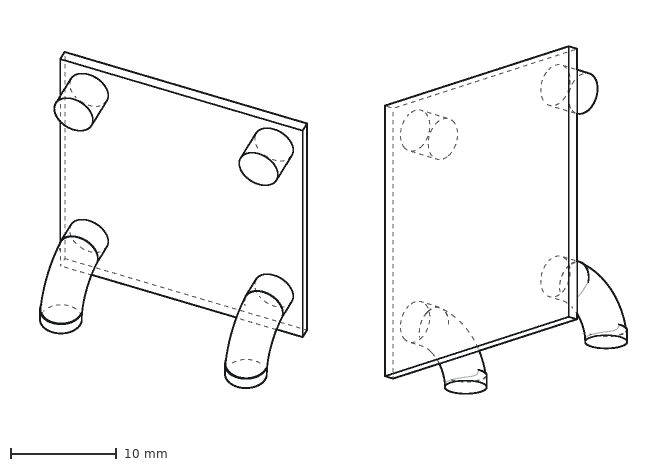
import cadquery as cq

plate_width = 25.0
plate_height = 27.0
plate_thickness = 1.08
plate_front = -plate_thickness
total_depth = 9.8

rod_diameter = 4.0
rod_radius = rod_diameter / 2
side_inset = 2.97
rod_spacing = plate_width - 2 * side_inset
rod_positions = (-rod_spacing / 2, rod_spacing / 2)

peg_length = 3.67
peg_drop = 2.92
peg_height = plate_height - peg_drop

hook_height = 5.0
bend_diameter = 3.97
bend_radius = hook_height
stub_length = 2.48
tip_length = 1.22
tip_y = -total_depth + rod_radius
bend_center_y = tip_y + bend_radius


def make_plate():
    return cq.Workplane("XY").box(
        plate_width, plate_thickness, plate_height, centered=(True, False, False)
    ).translate((0, plate_front, 0))


def make_rod(x, z, length):
    """Straight round rod standing out from the front face of the plate."""
    face = cq.Workplane("XZ", origin=(x, plate_front, z))
    return face.circle(rod_radius).extrude(length)


def make_hook(x):
    """Rod that leaves the plate and turns down to the level of its lower edge."""
    stub = make_rod(x, hook_height, stub_length)
    bend = (
        cq.Workplane("XZ", origin=(x, bend_center_y, hook_height))
        .circle(bend_diameter / 2)
        .revolve(90, (-0.27, -bend_radius, 0), (0.27, -bend_radius, 0))
    )
    tip = cq.Workplane("XY", origin=(x, tip_y, 0)).circle(rod_radius).extrude(tip_length)
    return stub.union(bend).union(tip)


plate = make_plate()
pegs = [make_rod(x, peg_height, peg_length) for x in rod_positions]
hooks = [make_hook(x) for x in rod_positions]

bodies = [plate, *pegs, *hooks]
result = cq.Compound.makeCompound([body.val() for body in bodies])